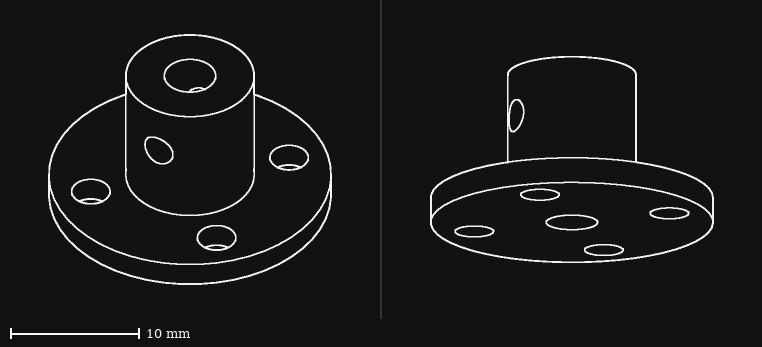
import cadquery as cq

flange_diameter = 22.0
flange_thickness = 2.0
hub_diameter = 10.0
total_height = 12.0
bore_diameter = 4.0
bolt_hole_diameter = 3.0
bolt_circle_diameter = 16.0
bolt_hole_count = 4
first_bolt_angle = 45.0
cross_hole_diameter = 2.5
cross_hole_height = 8.0

flange = cq.Workplane("XY").circle(flange_diameter / 2).extrude(flange_thickness)
hub = cq.Workplane("XY").circle(hub_diameter / 2).extrude(total_height)
body = flange.union(hub)

bore = cq.Workplane("XY").circle(bore_diameter / 2).extrude(total_height)

bolt_holes = (
    cq.Workplane("XY")
    .polarArray(bolt_circle_diameter / 2, first_bolt_angle, 360, bolt_hole_count)
    .circle(bolt_hole_diameter / 2)
    .extrude(flange_thickness)
)

cross_hole = (
    cq.Workplane("XZ")
    .center(0, cross_hole_height)
    .circle(cross_hole_diameter / 2)
    .extrude(hub_diameter / 2, both=True)
)

result = body.cut(bore).cut(bolt_holes).cut(cross_hole)